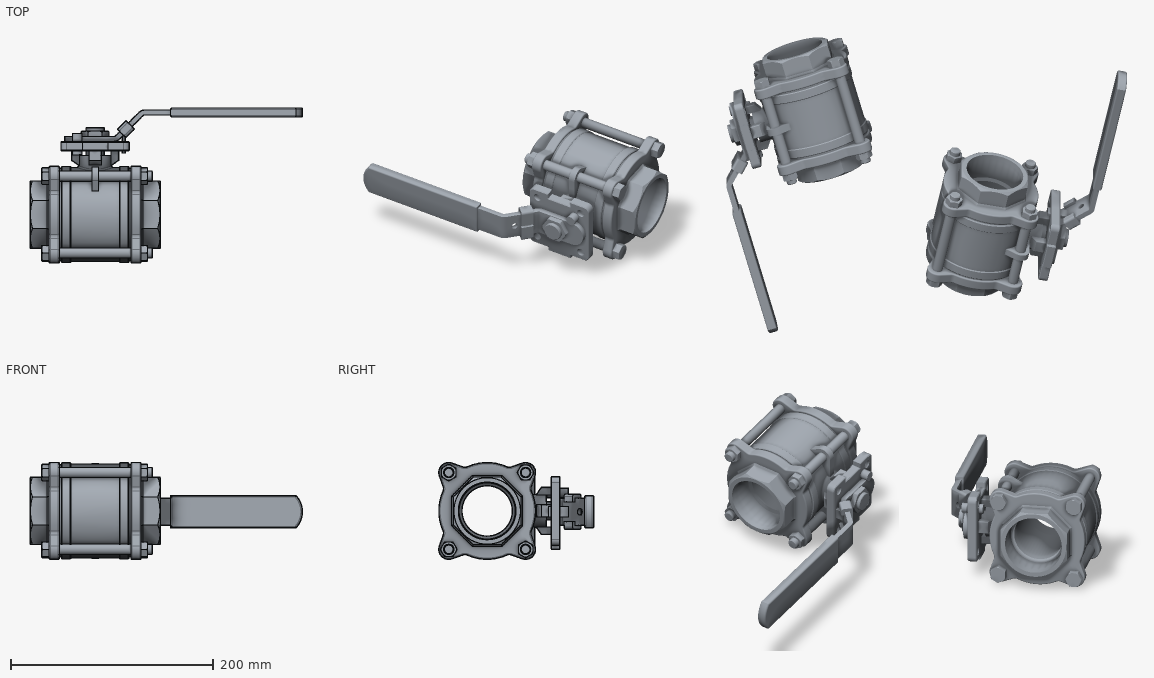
import cadquery as cq
import math


valve_half_length = 64.5
octagon_sides = 8
octagon_flats = 66.8
octagon_face_radius = 32.9
octagon_chamfer = 2.5
octagon_root = 2.0
bore_radius = 24.8
thread_mouth_radius = 28.5
thread_end_radius = 27.7
thread_depth = 27.2
thread_cone_length = 2.2

plate_radius = 48.0
plate_outer_x = 45.5
plate_inner_x = 35.3
plate_thickness = plate_outer_x - plate_inner_x
plate_blend = 5.5
plate_edge_fillet = 1.3
radius_tolerance = 0.03
bolt_offset = 38.0
lobe_radius = plate_radius - bolt_offset
lobe_slope = 19.4
lobe_flank_length = 16.2

body_radius = 46.5
ring_radius = 47.7
ring_outer_x = 33.5
ring_inner_x = 24.0
ring_chamfer = 0.8
neck_radius = 45.8
lug_radius = 9.2
lug_slope = 29.0
lug_flank_length = 18.9
lug_width = 6.5

rod_radius = 5.0
hex_sides = 6
hex_radius = 8.4
hex_chamfer = 0.8
head_height = 7.3
nut_height = 6.5
stud_end_x = 56.8

flange_half = 34.0
flange_bottom_y = 63.0
flange_top_y = 72.2
flange_thickness = flange_top_y - flange_bottom_y
flange_corner = 5.7
flange_edge_chamfer = 0.8
notch_half_width = 12.7
notch_depth = 5.7
stop_tab_reach = 38.0
mount_hole_offset = 24.8
mount_hole_radius = 4.0
collar_radius = 16.5
collar_top_y = 58.5
collar_root_fillet = 1.5
rib_inner = 15.5
rib_reach = 23.5
rib_half_width = 6.2
rib_fillet = 0.8
rib_knee_y = 53.5
rib_foot_y = 48.8
stem_radius = 9.2
stem_top_y = 86.0
stem_chamfer = 0.5
stem_nut_radius = 13.7
stem_nut_height = 5.0
pin_radius = 4.8
pin_offset = 17.8
pin_bottom_y = 59.0
pin_top_y = 80.3

lever_thickness = 5.0
lever_width = 27.0
lever_center_z = -0.8
hub_end_x = -30.2
lower_bend_x = 20.7
lever_rise = 26.0
lever_slope = 45.0
bend_radius = 2.7
lever_hole_radius = 3.2
lever_hole_rise = 18.5
grip_start_x = 74.5
grip_end_x = 205.0
grip_width = 32.0
grip_thickness = 9.2
grip_tip_sagitta = 6.5
grip_fillet = 1.5
lock_length = 12.0
lock_height = 11.9
lock_width = 35.0
lock_fillet = 2.5
lock_rise = 9.7
lock_opening = 19.5
lock_slit = 2.2
tab_center_x = 28.3
tab_thickness = 3.2
tab_width = 10.8
tab_bottom_y = 60.5
tab_clearance = 0.5

lower_lever_y = flange_top_y + lever_thickness / 2
upper_lever_y = lower_lever_y + lever_rise
upper_bend_x = lower_bend_x + lever_rise
quadrant_angles = [0, 90, 180, 270]


def along_x(x_start, x_end, radius):
    """Cylinder on the bore axis."""
    return cq.Workplane("YZ", origin=(x_start, 0, 0)).circle(radius).extrude(x_end - x_start)


def along_y(y_start, y_end, radius, x=0, z=0):
    """Cylinder parallel to the stem."""
    return cq.Workplane("XZ", origin=(x, y_start, z)).circle(radius).extrude(y_start - y_end)


def turned_about_x(shape, angle):
    return shape.rotate((0, 0, 0), (1, 0, 0), angle)


def turned_about_y(shape, angle):
    return shape.rotate((0, 0, 0), (0, 1, 0), angle)


def mirrored_pair(shape):
    """A feature together with its mirror image at the other end of the bore."""
    return shape.union(shape.mirror("YZ"))


def lobe(x_start, width, radius, slope, flank_length):
    """Rounded ear around the bolt at (+Y, +Z), widening towards the body."""
    run = math.cos(math.radians(slope))
    drop = math.sin(math.radians(slope))
    tangent_in = bolt_offset - radius * drop
    tangent_out = bolt_offset + radius * run
    foot_in = tangent_in - flank_length * run
    foot_out = tangent_out - flank_length * drop
    tip = bolt_offset + radius * math.sqrt(0.5)
    return (
        cq.Workplane("YZ", origin=(x_start, 0, 0))
        .moveTo(0, 0)
        .lineTo(foot_in, foot_out)
        .lineTo(tangent_in, tangent_out)
        .threePointArc((tip, tip), (tangent_out, tangent_in))
        .lineTo(foot_out, foot_in)
        .close()
        .extrude(width)
    )


def make_end_plate():
    plate = along_x(plate_inner_x, plate_outer_x, plate_radius)
    ear = lobe(plate_inner_x, plate_thickness, lobe_radius, lobe_slope, lobe_flank_length)
    for angle in quadrant_angles:
        plate = plate.union(turned_about_x(ear, angle))
    creases = [
        edge for edge in plate.edges("|X").vals()
        if math.hypot(edge.Center().y, edge.Center().z) < plate_radius + radius_tolerance
    ]
    plate = plate.newObject(creases).fillet(plate_blend)
    return plate.faces("<X or >X").edges().fillet(plate_edge_fillet)


def make_octagon_end():
    across_corners = octagon_flats / math.cos(math.pi / octagon_sides)
    corner_radius = across_corners / 2
    length = valve_half_length - plate_inner_x
    half_step = 180 / octagon_sides
    block = (
        cq.Workplane("YZ", origin=(plate_inner_x, 0, 0))
        .polygon(octagon_sides, across_corners)
        .extrude(length)
    )
    envelope = (
        along_x(plate_inner_x, valve_half_length, corner_radius)
        .faces(">X").edges()
        .chamfer(octagon_chamfer, corner_radius - octagon_face_radius)
    )
    root_corners = across_corners + 2 * octagon_root
    root = (
        cq.Workplane("YZ", origin=(plate_outer_x, 0, 0))
        .polygon(octagon_sides, root_corners)
        .workplane(offset=octagon_root)
        .polygon(octagon_sides, across_corners)
        .loft(ruled=True)
    )
    return turned_about_x(block.intersect(envelope).union(root), half_step)


def make_hex(x_start, height, chamfered_face):
    """Hexagon head or nut on the bore axis with its outer corners chamfered."""
    blank = (
        cq.Workplane("YZ", origin=(x_start, 0, 0))
        .polygon(hex_sides, 2 * hex_radius)
        .extrude(height)
    )
    envelope = along_x(x_start, x_start + height, hex_radius)
    return blank.intersect(envelope.faces(chamfered_face).edges().chamfer(hex_chamfer))


def make_bolt():
    """Bolt at (+Y, +Z): head at the -X end, nut and stud end at the +X end."""
    rod = along_x(-plate_outer_x, stud_end_x, rod_radius).faces(">X").edges().chamfer(hex_chamfer)
    head = make_hex(-plate_outer_x - head_height, head_height, "<X")
    nut = make_hex(plate_outer_x, nut_height, ">X")
    return rod.union(head).union(nut).translate((0, bolt_offset, bolt_offset))


def make_lugs():
    """Two ears that guide the stem-side bolts, joined by a straight web."""
    ear = lobe(-lug_width / 2, lug_width, lug_radius, lug_slope, lug_flank_length)
    web = cq.Workplane("XY").box(lug_width, lug_radius, 2 * bolt_offset)
    web = web.translate((0, bolt_offset + lug_radius / 2, 0))
    return ear.union(ear.mirror("XY")).union(web)


def make_mount_flange():
    """Square flange with a notch on +Z, a stop tab on -Z, mounting holes and a lock slot."""
    flange = (
        cq.Workplane("XZ", origin=(0, flange_bottom_y, 0))
        .rect(2 * flange_half, 2 * flange_half)
        .extrude(-flange_thickness)
        .edges("|Y").fillet(flange_corner)
    )
    notch = cq.Workplane("XY").box(2 * notch_half_width, flange_top_y, 2 * notch_depth)
    flange = flange.cut(notch.translate((0, flange_top_y, flange_half)))
    tab_length = stop_tab_reach - flange_half + flange_corner
    tab = cq.Workplane("XY").box(2 * notch_half_width, flange_thickness, tab_length)
    tab_y = flange_bottom_y + flange_thickness / 2
    flange = flange.union(tab.translate((0, tab_y, tab_length / 2 - stop_tab_reach)))
    flange = flange.faces("<Y or >Y").edges().chamfer(flange_edge_chamfer)
    for x in (-mount_hole_offset, mount_hole_offset):
        for z in (-mount_hole_offset, mount_hole_offset):
            flange = flange.cut(along_y(flange_bottom_y, flange_top_y, mount_hole_radius, x, z))
    slot = cq.Workplane("XY").box(
        tab_thickness + 2 * tab_clearance, 2 * flange_thickness, tab_width + 2 * tab_clearance
    )
    return flange.cut(slot.translate((tab_center_x, tab_y, lever_center_z)))


def make_body():
    """Round middle body with its two end rings and the stem collar blended onto it."""
    body = along_x(-ring_outer_x, ring_outer_x, body_radius)
    body = body.union(along_y(0, collar_top_y, collar_radius))
    collar_root = cq.selectors.BoxSelector(
        (-collar_radius, body_radius / 2, -collar_radius), (collar_radius, rib_foot_y, collar_radius)
    )
    body = body.edges(collar_root).fillet(collar_root_fillet)
    ring = along_x(ring_inner_x, ring_outer_x, ring_radius).edges().chamfer(ring_chamfer)
    neck = along_x(-plate_inner_x, plate_inner_x, neck_radius)
    return body.union(mirrored_pair(ring)).union(neck)


def make_rib():
    """Rib on the +X side of the collar that carries the mounting flange."""
    return (
        cq.Workplane("XY", origin=(0, 0, -rib_half_width))
        .polyline([
            (rib_inner, flange_bottom_y),
            (rib_reach, flange_bottom_y),
            (rib_reach, rib_knee_y),
            (collar_radius, rib_foot_y),
            (rib_inner, rib_foot_y),
        ])
        .close()
        .extrude(2 * rib_half_width)
        .faces(">X").edges("|Y").fillet(rib_fillet)
    )


def make_stem():
    """Stem with the nut that holds the lever."""
    stem = along_y(0, stem_top_y, stem_radius).faces(">Y").edges().chamfer(stem_chamfer)
    nut_bottom_y = flange_top_y + lever_thickness
    nut = (
        cq.Workplane("XZ", origin=(0, nut_bottom_y, 0))
        .polygon(hex_sides, 2 * stem_nut_radius)
        .extrude(-stem_nut_height)
    )
    envelope = along_y(nut_bottom_y, nut_bottom_y + stem_nut_height, stem_nut_radius)
    return stem.union(nut.intersect(envelope.faces(">Y").edges().chamfer(hex_chamfer)))


def make_bore():
    """Through bore with a wider thread bore and a cone at each end."""
    thread_end_x = valve_half_length - thread_depth
    cone_end_x = thread_end_x - thread_cone_length
    half = (
        cq.Workplane("XY")
        .polyline([
            (0, 0),
            (0, bore_radius),
            (cone_end_x, bore_radius),
            (thread_end_x, thread_end_radius),
            (valve_half_length, thread_mouth_radius),
            (valve_half_length, 0),
        ])
        .close()
        .revolve(360, (0, 0, 0), (1, 0, 0))
    )
    return mirrored_pair(half)


def make_valve():
    valve = make_body()
    rib = make_rib()
    for angle in quadrant_angles:
        valve = valve.union(turned_about_y(rib, angle))
    valve = valve.union(mirrored_pair(make_end_plate()))
    valve = valve.union(mirrored_pair(make_octagon_end()))
    bolt = make_bolt()
    for angle in quadrant_angles:
        valve = valve.union(turned_about_x(bolt, angle))
    valve = valve.union(make_lugs())
    valve = valve.union(make_mount_flange())
    valve = valve.union(make_stem())
    valve = valve.union(along_y(pin_bottom_y, pin_top_y, pin_radius, -pin_offset, pin_offset))
    return valve.cut(make_bore())


def make_lever():
    """Flat bar bent twice, with a round hub end around the stem."""
    half = lever_thickness / 2
    miter = half * math.tan(math.radians(lever_slope / 2))
    hub_radius = lever_width / 2
    hub_x = hub_end_x + hub_radius
    bar_end_x = (grip_start_x + grip_end_x) / 2
    bar = (
        cq.Workplane("XY")
        .polyline([
            (hub_x, lower_lever_y - half),
            (lower_bend_x + miter, lower_lever_y - half),
            (upper_bend_x + miter, upper_lever_y - half),
            (bar_end_x, upper_lever_y - half),
            (bar_end_x, upper_lever_y + half),
            (upper_bend_x - miter, upper_lever_y + half),
            (lower_bend_x - miter, lower_lever_y + half),
            (hub_x, lower_lever_y + half),
        ])
        .close()
        .extrude(lever_width / 2, both=True)
    )
    outer_bends = [
        (lower_bend_x + miter, lower_lever_y - half, 0),
        (upper_bend_x - miter, upper_lever_y + half, 0),
    ]
    inner_bends = [
        (lower_bend_x - miter, lower_lever_y + half, 0),
        (upper_bend_x + miter, upper_lever_y - half, 0),
    ]
    for bends, radius in ((outer_bends, bend_radius + lever_thickness), (inner_bends, bend_radius)):
        for bend in bends:
            bar = bar.edges(cq.selectors.NearestToPointSelector(bend)).fillet(radius)
    bar = bar.translate((0, 0, lever_center_z))
    bar = bar.union(
        along_y(lower_lever_y - half, lower_lever_y + half, hub_radius, hub_x, lever_center_z)
    )
    return bar.cut(along_y(lower_lever_y - half, lower_lever_y + half, stem_radius))


def slope_plane(rise):
    """Plane on the sloped stretch: local x along the slope, local y out of its upper face."""
    origin = (lower_bend_x + rise, lower_lever_y + rise, lever_center_z)
    return cq.Plane(origin=origin, xDir=(1, 1, 0), normal=(0, 0, 1))


def make_lever_hole():
    length = 2 * lever_thickness
    drill = cq.Solid.makeCylinder(
        lever_hole_radius, length, cq.Vector(0, -lever_thickness, 0), cq.Vector(0, 1, 0)
    )
    return cq.Workplane(drill.moved(cq.Location(slope_plane(lever_hole_rise))))


def make_slide_lock():
    """Sleeve around the sloped stretch, open below and slit above, with a tab through the flange."""
    sleeve = (
        cq.Workplane(slope_plane(lock_rise))
        .box(lock_length, lock_height, lock_width)
        .edges("|(1,1,0)").fillet(lock_fillet)
    )
    opening = (
        cq.Workplane(slope_plane(lock_rise))
        .center(0, -lock_height / 2)
        .box(lock_length, lock_height, lock_opening)
    )
    slit = (
        cq.Workplane(slope_plane(lock_rise))
        .center(0, lock_height / 2)
        .box(lock_length, lock_height, lock_slit)
    )
    tab_top_y = lower_lever_y + tab_center_x - lower_bend_x
    tab = cq.Workplane("XY").box(tab_thickness, tab_top_y - tab_bottom_y, tab_width)
    tab = tab.translate((tab_center_x, (tab_top_y + tab_bottom_y) / 2, lever_center_z))
    return sleeve.cut(opening).cut(slit).union(tab)


def make_grip():
    """Grip sleeve with a shallow round tip and rounded edges."""
    half_width = grip_width / 2
    shoulder_x = grip_end_x - grip_tip_sagitta
    grip = (
        cq.Workplane("XZ", origin=(0, upper_lever_y - grip_thickness / 2, lever_center_z))
        .moveTo(grip_start_x, -half_width)
        .lineTo(shoulder_x, -half_width)
        .threePointArc((grip_end_x, 0), (shoulder_x, half_width))
        .lineTo(grip_start_x, half_width)
        .close()
        .extrude(-grip_thickness)
    )
    return grip.faces("<Y or >Y").edges().fillet(grip_fillet)


def make_handle():
    handle = make_lever().union(make_slide_lock())
    return handle.cut(make_lever_hole()).union(make_grip())


valve = make_valve()
handle = make_handle()

result = cq.Compound.makeCompound([valve.solids().val(), handle.solids().val()])